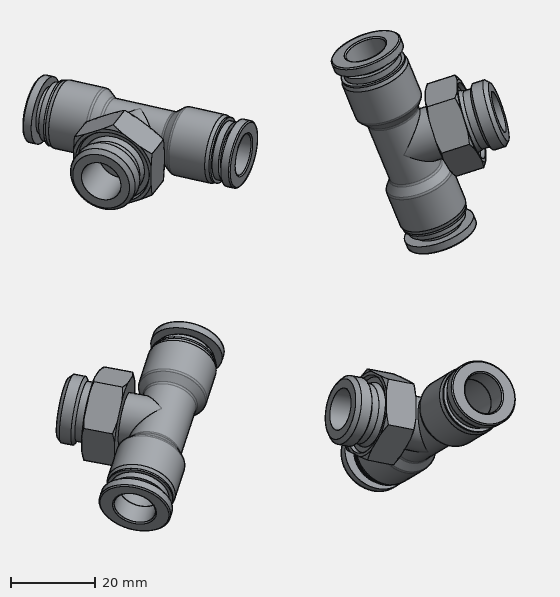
import cadquery as cq
import math


half_length = 26.7
flange_thickness = 2.3
collar_length = 1.6
lip_length = 0.5
lead_in_length = 0.95
collar_end = 23.1
lip_start = collar_end - collar_length
lead_in_start = lip_start - lip_length
socket_start = lead_in_start - lead_in_length
cone_outer = 10.5
cone_inner = 8.05

collar_diameter = 14.4
lip_diameter = 16.1
socket_diameter = 16.7
run_diameter = 13.0
cone_fillet = 0.95

tube_bore = 10.2
tube_stop = 10.15
flow_bore = 8.0

sleeve_diameter = 11.7
sleeve_bore = 10.1
sleeve_inner_end = 21.25
flange_height_y = 17.5
flange_height_z = 16.1
flange_chamfer = 0.3
bore_chamfer = 0.3

hex_start = 9.0
hex_end = 17.1
neck_end = 19.45
thread_start = 20.15
stud_end = 24.0

hex_across_flats = 19.95
hex_across_corners = hex_across_flats / math.cos(math.radians(30))
hex_face_diameter = 20.6
hex_chamfer_depth = 0.55

seal_recess_depth = 1.0
seal_recess_rim = 18.9
seal_recess_floor = 18.25
neck_diameter = 14.6
neck_root_diameter = 15.65
neck_root_end = 17.6
thread_diameter = 16.65
thread_chamfer = 1.0
stud_counterbore = 10.15
stud_counterbore_depth = 10.7
stud_bore = 5.0


def x_cylinder(diameter, start, end):
    """Cylinder on the X axis between two stations."""
    return cq.Workplane("YZ").workplane(offset=start).circle(diameter / 2).extrude(end - start)


def y_cylinder(diameter, start, end):
    """Cylinder on the branch axis between two distances towards -Y."""
    return cq.Workplane("XZ").workplane(offset=start).circle(diameter / 2).extrude(end - start)


def y_revolve(points):
    """Revolve (radius, distance towards -Y) points about the branch axis."""
    outline = [(radius, -distance) for radius, distance in points]
    return cq.Workplane("XY").polyline(outline).close().revolve(360, (0, 0, 0), (0, 1, 0))


def make_run():
    """Solid outside of the run: a plain middle that widens into a socket at each end."""
    right_half = [
        (cone_inner, run_diameter / 2),
        (cone_outer, socket_diameter / 2),
        (socket_start, socket_diameter / 2),
        (lead_in_start, lip_diameter / 2),
        (lip_start, lip_diameter / 2),
        (lip_start, collar_diameter / 2),
        (collar_end, collar_diameter / 2),
        (collar_end, 0),
    ]
    left_half = [(-x, radius) for x, radius in reversed(right_half)]
    outline = cq.Workplane("XY").polyline(left_half + right_half).close()
    run = outline.revolve(360, (0, 0, 0), (1, 0, 0))
    for side in (-1, 1):
        cone_middle = (side * (cone_inner + cone_outer) / 2, 0, 0)
        cone = cq.selectors.NearestToPointSelector(cone_middle)
        run = run.faces("%CONE").faces(cone).edges("%CIRCLE").fillet(cone_fillet)
    return run


def make_body():
    """Tee body with a tube socket at each end and a plain branch."""
    body = make_run().union(y_cylinder(run_diameter, 0, hex_start))
    body = body.cut(x_cylinder(flow_bore, -collar_end, collar_end))
    body = body.cut(y_cylinder(stud_bore, 0, hex_start))
    tube_space = x_cylinder(tube_bore, tube_stop, collar_end)
    sleeve_space = x_cylinder(sleeve_diameter, sleeve_inner_end, collar_end)
    for space in (tube_space, sleeve_space):
        body = body.cut(space).cut(space.mirror("YZ"))
    return body


def make_sleeve(side):
    """Release sleeve with an oval flange; side is +1 for +X and -1 for -X."""
    flange_start = half_length - flange_thickness
    flange = (
        cq.Workplane("YZ")
        .workplane(offset=flange_start)
        .ellipse(flange_height_y / 2, flange_height_z / 2)
        .extrude(flange_thickness)
        .faces(">X")
        .chamfer(flange_chamfer)
    )
    sleeve = flange.union(x_cylinder(sleeve_diameter, sleeve_inner_end, flange_start))
    sleeve = sleeve.cut(x_cylinder(sleeve_bore, sleeve_inner_end, half_length))
    sleeve = sleeve.faces(">X").edges("%CIRCLE").chamfer(bore_chamfer)
    return sleeve if side > 0 else sleeve.mirror("YZ")


def make_hex():
    """Hexagon with corners at +Z and -Z, chamfered at both ends."""
    hexagon = (
        cq.Workplane("XZ")
        .workplane(offset=hex_start)
        .transformed(rotate=(0, 0, 90))
        .polygon(6, hex_across_corners)
        .extrude(hex_end - hex_start)
    )
    envelope = y_revolve([
        (0, hex_start),
        (hex_face_diameter / 2, hex_start),
        (hex_across_corners / 2, hex_start + hex_chamfer_depth),
        (hex_across_corners / 2, hex_end - hex_chamfer_depth),
        (hex_face_diameter / 2, hex_end),
        (0, hex_end),
    ])
    return hexagon.intersect(envelope)


def make_stud():
    """Hexagon, undercut neck and plain thread cylinder with a stepped bore."""
    recess_floor = hex_end - seal_recess_depth
    recess = y_revolve([
        (0, recess_floor),
        (seal_recess_floor / 2, recess_floor),
        (seal_recess_rim / 2, hex_end),
        (0, hex_end),
    ])
    neck_radius = neck_diameter / 2
    thread_radius = thread_diameter / 2
    shank = y_revolve([
        (0, recess_floor),
        (neck_root_diameter / 2, recess_floor),
        (neck_radius, neck_root_end),
        (neck_radius, neck_end),
        (thread_radius, thread_start),
        (thread_radius, stud_end - thread_chamfer),
        (thread_radius - thread_chamfer, stud_end),
        (0, stud_end),
    ])
    stud = make_hex().cut(recess).union(shank)
    stud = stud.cut(y_cylinder(stud_bore, hex_start, stud_end))
    return stud.cut(y_cylinder(stud_counterbore, stud_end - stud_counterbore_depth, stud_end))


body = make_body()
stud = make_stud()
sleeves = [make_sleeve(side) for side in (-1, 1)]

result = cq.Compound.makeCompound([
    body.val(),
    stud.val(),
    *[sleeve.val() for sleeve in sleeves],
])